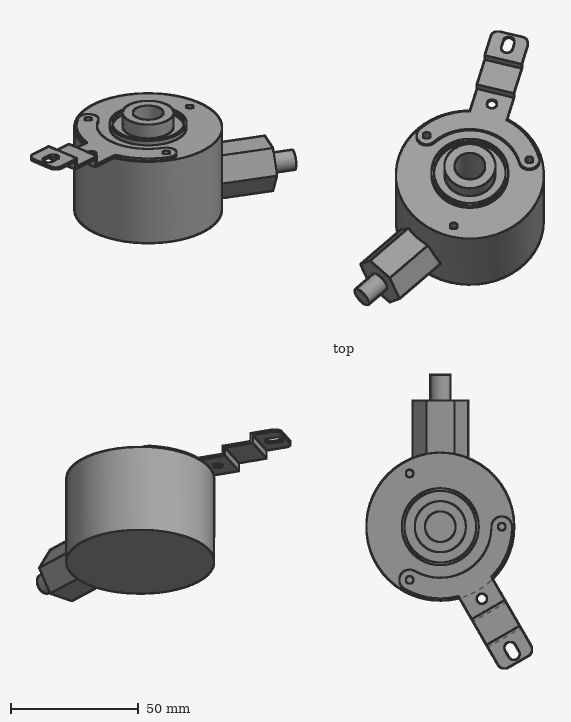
import cadquery as cq
import math

body_radius = 29.0
body_height = 36.0
collar_radius = 15.0
collar_height = 2.0
recess_radius = 14.0
recess_depth = 1.5
shaft_radius = 10.0
shaft_height = 6.5
bore_radius = 6.0
bore_depth = 20.0

gland_height = 12.5
gland_across_flats = 19.0
gland_end = 49.4
cable_radius = 4.0
cable_end = 59.4

hole_circle_radius = 24.0
hole_radius = 1.5
hole_count = 3
hole_depth = 4.6

plate_thickness = 1.0
band_half_width = 4.0
step_rise = 3.5
arm_angle = -60
arm_width = 15.0
first_step = 37.5
second_step = 49.0
arm_end = 61.0
arm_corner_radius = 3.0
arm_hole_position = 32.5
arm_hole_radius = 2.0
slot_position = 56.1
slot_width = 4.5
slot_length = 7.4


def cylinder(radius, height, base):
    return cq.Workplane("XY").workplane(offset=base).circle(radius).extrude(height)


def polar(radius, angle):
    return (radius * math.cos(math.radians(angle)), radius * math.sin(math.radians(angle)))


def make_housing():
    housing = cylinder(body_radius, body_height, 0)
    collar = cylinder(collar_radius, collar_height, body_height)
    recess_floor = body_height + collar_height - recess_depth
    recess = cylinder(recess_radius, recess_depth, recess_floor)
    shaft = cylinder(shaft_radius, shaft_height, body_height)
    return housing.union(collar.cut(recess)).union(shaft)


def make_gland():
    across_corners = gland_across_flats / math.cos(math.radians(30))
    axis = cq.Workplane("XZ").center(0, gland_height)
    hexagon = axis.polygon(6, across_corners).extrude(-gland_end)
    cable = axis.circle(cable_radius).extrude(-cable_end)
    return hexagon.union(cable)


def make_band():
    """Arc band with round ends, spanning 60 degrees on each side of the arm."""
    outer = hole_circle_radius + band_half_width
    inner = hole_circle_radius - band_half_width
    sweep = 360 / hole_count / 2
    start = arm_angle - sweep
    end = arm_angle + sweep
    band = (
        cq.Workplane("XY")
        .workplane(offset=body_height)
        .moveTo(*polar(outer, start))
        .threePointArc(polar(outer, arm_angle), polar(outer, end))
        .lineTo(*polar(inner, end))
        .threePointArc(polar(inner, arm_angle), polar(inner, start))
        .close()
        .extrude(plate_thickness)
    )
    for angle in (start, end):
        tip = cylinder(band_half_width, plate_thickness, body_height)
        band = band.union(tip.translate((*polar(hole_circle_radius, angle), 0)))
    return band


def make_arm():
    """Arm bent up in two steps, built along +X and then turned to its angle."""
    bottom = body_height
    profile = [(hole_circle_radius, bottom)]
    for step in (first_step, second_step):
        profile.append((step + plate_thickness, bottom))
        bottom += step_rise
        profile.append((step + plate_thickness, bottom))
    profile.append((arm_end, bottom))
    top = bottom + plate_thickness
    profile.append((arm_end, top))
    for step in (second_step, first_step):
        profile.append((step, top))
        top -= step_rise
        profile.append((step, top))
    profile.append((hole_circle_radius, top))

    arm = cq.Workplane("XZ").polyline(profile).close().extrude(arm_width / 2, both=True)
    arm = arm.edges("|Z and >X").fillet(arm_corner_radius)
    base = cq.Workplane("XY").workplane(offset=body_height)
    cut_height = 2 * step_rise + plate_thickness
    hole = base.center(arm_hole_position, 0).circle(arm_hole_radius).extrude(cut_height)
    slot = base.center(slot_position, 0).slot2D(slot_length, slot_width).extrude(cut_height)
    arm = arm.cut(hole).cut(slot)
    return arm.rotate((0, 0, 0), (0, 0, 1), arm_angle)


def make_mounting_holes():
    return (
        cq.Workplane("XY")
        .workplane(offset=body_height - hole_depth)
        .polarArray(hole_circle_radius, 0, 360, hole_count)
        .circle(hole_radius)
        .extrude(hole_depth + plate_thickness)
    )


part = make_housing().union(make_gland()).union(make_band()).union(make_arm())
shaft_top = body_height + shaft_height
bore = cylinder(bore_radius, bore_depth, shaft_top - bore_depth)
result = part.cut(bore).cut(make_mounting_holes())